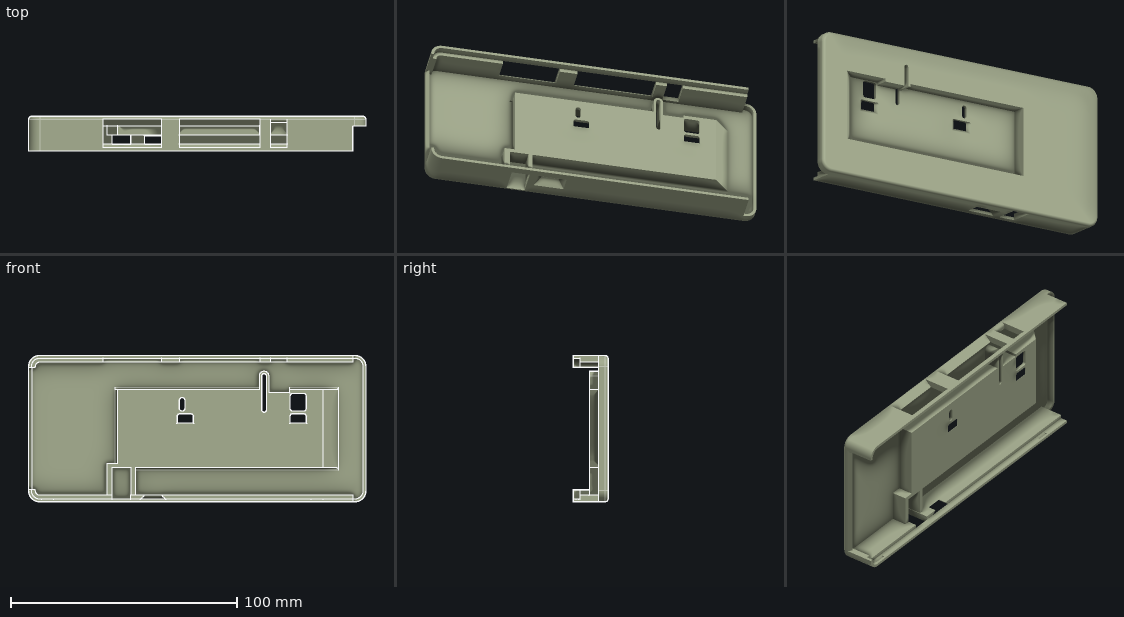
import cadquery as cq
import math

LENGTH = 149.3
DEPTH = 15.5
HEIGHT = 64.84
FLOOR = 1.5
SKIN = 1.3
WALL = 3.0
CORNER_RADIUS = 5.0
BACK_FILLET = 1.5
HALF_X = LENGTH / 2
HALF_Z = HEIGHT / 2

LEDGE_DEPTH = 12.4
RIM_DEPTH = 4.4
WALL_END_X = HALF_X - 5.8
LEFT_OPENING_TOP = HALF_Z - 5.4
LEFT_SILL_DEPTH = 4.1
LEFT_WALL = 1.5

BLOCK_DEPTH = 8.4
BLOCK_LEFT = -35.3
BLOCK_HALF_Z = 17.25
RAMP_START_X = 55.6
COVE_RADIUS = 1.0
NOTCH_RIGHT = 40.9
NOTCH_BOTTOM = 15.95

BOSS_X = 29.55
BOSS_WIDTH = 4.2
BOSS_TOP = 25.4
LONG_SLOT_WIDTH = 2.0
LONG_SLOT_BOTTOM = 7.3

SHORT_SLOT_X = -6.7
SHORT_SLOT_WIDTH = 2.4
SHORT_SLOT_TOP = 13.7
OPENING_WIDTH = 7.0
OPENING_RADIUS = 1.0
LEFT_OPENING_X = -5.3
RIGHT_OPENING_X = 44.6
LOW_OPENING_BOTTOM = 2.5
LOW_OPENING_TOP = 6.5
HIGH_OPENING_BOTTOM = 7.8
HIGH_OPENING_TOP = 15.5

CHANNEL_OUTER = (-40.0, -27.3)
CHANNEL_INNER = (-37.6, -29.2)
CHANNEL_TOP = -15.5
CABLE_EXIT_RIGHT = -29.5

WIDE_WINDOWS = ((-41.6, -15.9), (-7.9, 27.7))
NARROW_WINDOW = (32.5, 39.7)
WINDOW_BACK = 1.3
WINDOW_FRONT = 13.9
NARROW_FLOOR_DEPTH = 2.9
FLARED_HOLE = (-23.3, -15.8)
FLARED_HOLE_BACK = 8.8

LIP_NOTCH_XS = (-66.2, 52.9)
LIP_NOTCH_LENGTH = 5.4
LIP_NOTCH_START = 13.1
LIP_NOTCH_DEPTH = 0.7


def box(x0, x1, d0, d1, z0, z1):
    """Box between two x, two depths from the back face and two z."""
    return cq.Workplane("XY").box(x1 - x0, d1 - d0, z1 - z0, centered=False).translate((x0, -d1, z0))


def rounded_slab(inset, d0, d1):
    """Tray outline, inset evenly, between two depths."""
    outline = cq.Workplane("XZ", origin=(0, -d0, 0)).rect(LENGTH - 2 * inset, HEIGHT - 2 * inset)
    return outline.extrude(d1 - d0).edges("|Y").fillet(CORNER_RADIUS - inset)


def prism_x(points, x0, x1):
    """Prism along X from (depth, z) points."""
    section = [(-depth, z) for depth, z in points]
    return cq.Workplane("YZ", origin=(x0, 0, 0)).polyline(section).close().extrude(x1 - x0)


def prism_z(points, z0, z1):
    """Prism along Z from (x, depth) points."""
    section = [(x, -depth) for x, depth in points]
    return cq.Workplane("XY", origin=(0, 0, z0)).polyline(section).close().extrude(z1 - z0)


def make_tray():
    body = rounded_slab(0, 0, DEPTH).faces(">Y").edges().fillet(BACK_FILLET)
    body = body.cut(rounded_slab(SKIN, FLOOR, DEPTH))
    inner_layer = rounded_slab(SKIN, FLOOR, LEDGE_DEPTH).cut(rounded_slab(WALL, FLOOR, LEDGE_DEPTH))
    inner_layer = inner_layer.cut(box(WALL_END_X, HALF_X, 0, DEPTH, -HALF_Z, HALF_Z))
    left_bay = box(-HALF_X, -HALF_X + CORNER_RADIUS, FLOOR, DEPTH, -LEFT_OPENING_TOP, LEFT_OPENING_TOP)
    body = body.union(inner_layer.cut(left_bay))
    left_wall_x = -HALF_X + LEFT_WALL
    left_wall = box(-HALF_X + SKIN, left_wall_x, FLOOR, LEFT_SILL_DEPTH, -LEFT_OPENING_TOP, LEFT_OPENING_TOP)
    body = body.union(left_wall)
    body = body.cut(box(WALL_END_X, HALF_X, RIM_DEPTH, DEPTH, -HALF_Z, HALF_Z))
    sill_bevel = [
        (-HALF_X, LEFT_SILL_DEPTH - LEFT_WALL),
        (left_wall_x, LEFT_SILL_DEPTH),
        (left_wall_x, DEPTH),
        (-HALF_X, DEPTH),
    ]
    return body.cut(prism_z(sill_bevel, -LEFT_OPENING_TOP, LEFT_OPENING_TOP))


def ramped_block(left, half_z, depth, ramp_x):
    """Block standing on the back plane with a 45 degree ramp at its right end."""
    side = [(left, 0), (left, depth), (ramp_x, depth), (ramp_x + depth, 0)]
    return prism_z(side, -half_z, half_z)


def cove(length):
    """Concave quarter-round strip along X, in the corner of the floor (y = 0) and a wall (z = 0)."""
    strip = box(0, length, 0, COVE_RADIUS, 0, COVE_RADIUS)
    hollow = cq.Workplane("YZ").center(-COVE_RADIUS, COVE_RADIUS).circle(COVE_RADIUS).extrude(length)
    return strip.cut(hollow)


def make_block():
    block = ramped_block(BLOCK_LEFT, BLOCK_HALF_Z, BLOCK_DEPTH, RAMP_START_X)
    cove_left = BLOCK_LEFT - COVE_RADIUS
    side_cove = cove(RAMP_START_X + BLOCK_DEPTH - cove_left).translate((cove_left, -FLOOR, BLOCK_HALF_Z))
    end_cove = cove(2 * BLOCK_HALF_Z).rotate((0, 0, 0), (0, 1, 0), -90)
    end_cove = end_cove.translate((BLOCK_LEFT, -FLOOR, -BLOCK_HALF_Z))
    coves = side_cove.union(side_cove.mirror("XY")).union(end_cove)
    coves = coves.intersect(ramped_block(cove_left, HALF_Z, BLOCK_DEPTH, RAMP_START_X))
    block = block.union(coves)
    return block.cut(box(BOSS_X, NOTCH_RIGHT, FLOOR, BLOCK_DEPTH, NOTCH_BOTTOM, HALF_Z))


def slot(x, width, z0, z1, depth):
    """Upright round-ended bar between two z, from the back face to a depth."""
    outline = cq.Workplane("XZ").center(x, (z0 + z1) / 2).slot2D(z1 - z0, width, 90)
    return outline.extrude(depth)


def make_boss():
    return slot(BOSS_X, BOSS_WIDTH, 0, BOSS_TOP, BLOCK_DEPTH)


def make_channel():
    bottom_wall_z = -HALF_Z + SKIN
    return box(*CHANNEL_OUTER, 0, BLOCK_DEPTH, bottom_wall_z, CHANNEL_TOP)


def make_channel_cut():
    return box(*CHANNEL_INNER, FLOOR, BLOCK_DEPTH, -HALF_Z + WALL, -BLOCK_HALF_Z)


def make_cable_exit():
    return box(CHANNEL_INNER[0], CABLE_EXIT_RIGHT, FLOOR, LEDGE_DEPTH, -HALF_Z, -HALF_Z + WALL)


def make_back_pocket():
    """Hollow behind the block, leaving a shell; the notch and boss keep their own walls."""
    ramp_shift = FLOOR * (math.sqrt(2) - 1)
    pocket_depth = BLOCK_DEPTH - FLOOR
    ramp_x = RAMP_START_X - ramp_shift
    pocket = ramped_block(BLOCK_LEFT + FLOOR, BLOCK_HALF_Z - FLOOR, pocket_depth, ramp_x)
    notch_left = BOSS_X - BOSS_WIDTH / 2
    return pocket.cut(box(notch_left, NOTCH_RIGHT, 0, BLOCK_DEPTH, NOTCH_BOTTOM - FLOOR, HALF_Z))


def opening(x, z0, z1):
    half = OPENING_WIDTH / 2
    return box(x - half, x + half, 0, BLOCK_DEPTH, z0, z1).edges("|Y").fillet(OPENING_RADIUS)


def flared_opening(x, z0, z1):
    """Opening with rounded top corners; its sides and bottom flare 45 degrees toward the back."""

    def outline(plane, flare):
        half = OPENING_WIDTH / 2 + flare
        corner = OPENING_RADIUS * math.sqrt(0.5)
        arc_z = z1 - OPENING_RADIUS + corner
        arc_x = half - OPENING_RADIUS + corner
        return (
            plane.moveTo(-half, z0 - flare)
            .lineTo(half, z0 - flare)
            .lineTo(half, z1 - OPENING_RADIUS)
            .threePointArc((arc_x, arc_z), (half - OPENING_RADIUS, z1))
            .lineTo(OPENING_RADIUS - half, z1)
            .threePointArc((-arc_x, arc_z), (-half, z1 - OPENING_RADIUS))
            .close()
        )

    front = outline(cq.Workplane("XZ", origin=(x, -BLOCK_DEPTH, 0)), 0)
    return outline(front.workplane(offset=-FLOOR), FLOOR).loft(ruled=True)


def cut_face_openings(body):
    long_slot_top = BOSS_TOP - (BOSS_WIDTH - LONG_SLOT_WIDTH) / 2
    body = body.cut(slot(BOSS_X, LONG_SLOT_WIDTH, LONG_SLOT_BOTTOM, long_slot_top, BLOCK_DEPTH))
    body = body.cut(slot(SHORT_SLOT_X, SHORT_SLOT_WIDTH, HIGH_OPENING_BOTTOM, SHORT_SLOT_TOP, BLOCK_DEPTH))
    for x in (LEFT_OPENING_X, RIGHT_OPENING_X):
        body = body.cut(flared_opening(x, LOW_OPENING_BOTTOM, LOW_OPENING_TOP))
    return body.cut(opening(RIGHT_OPENING_X, HIGH_OPENING_BOTTOM, HIGH_OPENING_TOP))


def cut_top_windows(body):
    inner_z = HALF_Z - WALL
    front = [(LEDGE_DEPTH, inner_z), (LEDGE_DEPTH, HALF_Z - SKIN), (WINDOW_FRONT, HALF_Z)]
    wide_section = [*front, (WINDOW_BACK, HALF_Z), (WINDOW_BACK + WALL, inner_z)]
    for x0, x1 in WIDE_WINDOWS:
        body = body.cut(prism_x(wide_section, x0, x1))
    x0, x1 = NARROW_WINDOW
    radius = NARROW_FLOOR_DEPTH - WINDOW_BACK
    corner = radius * math.sqrt(0.5)
    arc_middle = (-WINDOW_BACK - corner, HALF_Z - radius + corner)
    narrow = (
        cq.Workplane("YZ", origin=(x0, 0, 0))
        .moveTo(-WINDOW_BACK, HALF_Z)
        .threePointArc(arc_middle, (-NARROW_FLOOR_DEPTH, HALF_Z - radius))
        .lineTo(-NARROW_FLOOR_DEPTH, inner_z)
        .lineTo(-LEDGE_DEPTH, inner_z)
        .lineTo(-LEDGE_DEPTH, HALF_Z - SKIN)
        .lineTo(-WINDOW_FRONT, HALF_Z)
        .close()
        .extrude(x1 - x0)
    )
    return body.cut(narrow)


def cut_flared_hole(body):
    """Hole in the bottom wall, widening outward at 45 degrees on its back and both ends."""
    x0, x1 = FLARED_HOLE
    length = x1 - x0
    width = LEDGE_DEPTH - FLARED_HOLE_BACK
    middle_x = (x0 + x1) / 2
    inner = cq.Workplane("XY", origin=(middle_x, -FLARED_HOLE_BACK - width / 2, -HALF_Z + WALL))
    hole = inner.rect(length, width).workplane(offset=-WALL).rect(length + 2 * WALL, width + 2 * WALL).loft()
    return body.cut(hole.intersect(box(-HALF_X, HALF_X, 0, LEDGE_DEPTH, -HALF_Z, HALF_Z)))


def cut_lip_notches(body):
    lip_z = -HALF_Z + SKIN
    section = [
        (LIP_NOTCH_START, lip_z),
        (LIP_NOTCH_START + LIP_NOTCH_DEPTH, lip_z - LIP_NOTCH_DEPTH),
        (LIP_NOTCH_START + 2 * LIP_NOTCH_DEPTH, lip_z),
    ]
    for x in LIP_NOTCH_XS:
        body = body.cut(prism_x(section, x - LIP_NOTCH_LENGTH / 2, x + LIP_NOTCH_LENGTH / 2))
    return body


tray = make_tray().union(make_block()).union(make_boss()).union(make_channel())
tray = tray.cut(make_back_pocket()).cut(make_channel_cut()).cut(make_cable_exit())
tray = cut_face_openings(tray)
tray = cut_top_windows(tray)
tray = cut_flared_hole(tray)
result = cut_lip_notches(tray)